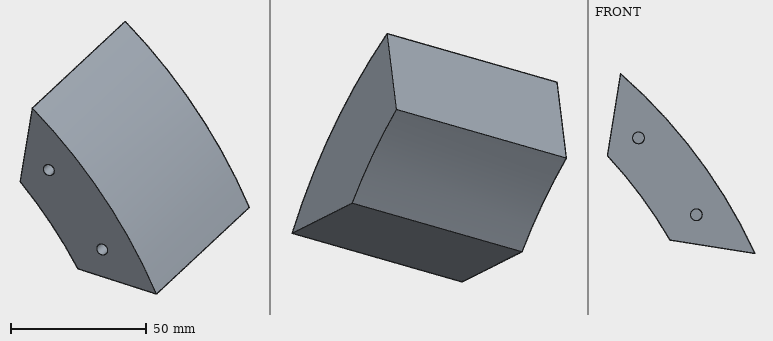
import cadquery as cq
import math

length = 88.9
width = 54.8
height = 66.7

top_corner = (4.9, height)
left_corner = (0, 36.3)
bottom_corner = (23.2, 5.0)
right_corner = (width, 0)

outer_radius = 200.0
inner_radius = 175.1

hole_diameter = 4.4
hole_depth = 17.8
hole_centers = [(11.6, 42.85), (33.0, 14.4)]


def bulge_point(upper, lower, radius):
    """Return the midpoint of an arc that bulges up and right of its chord."""
    run = lower[0] - upper[0]
    drop = upper[1] - lower[1]
    chord = math.hypot(run, drop)
    sagitta = radius - math.sqrt(radius**2 - (chord / 2) ** 2)
    middle_x = (upper[0] + lower[0]) / 2
    middle_z = (upper[1] + lower[1]) / 2
    return (middle_x + sagitta * drop / chord, middle_z + sagitta * run / chord)


bar = (
    cq.Workplane("XZ")
    .moveTo(*top_corner)
    .threePointArc(bulge_point(top_corner, right_corner, outer_radius), right_corner)
    .lineTo(*bottom_corner)
    .threePointArc(bulge_point(left_corner, bottom_corner, inner_radius), left_corner)
    .close()
    .extrude(-length)
)

holes = (
    cq.Workplane("XZ")
    .pushPoints(hole_centers)
    .circle(hole_diameter / 2)
    .extrude(-hole_depth)
)

result = bar.cut(holes)